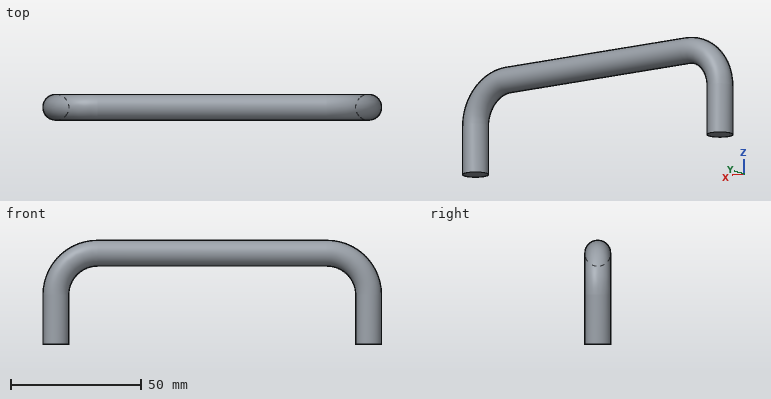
import cadquery as cq
import math

ROD_DIAMETER = 10.0
LEG_SPACING = 120.0
HEIGHT = 40.0
BEND_RADIUS = 16.0

rod_radius = ROD_DIAMETER / 2
leg_x = LEG_SPACING / 2
grip_z = HEIGHT - rod_radius
bend_x = leg_x - BEND_RADIUS
bend_z = grip_z - BEND_RADIUS
bend_mid_offset = BEND_RADIUS * math.sin(math.radians(45))


def rod_axis():
    """Centre line of the handle: leg, bend, grip, bend, leg."""
    return (
        cq.Workplane("XZ")
        .moveTo(-leg_x, 0)
        .lineTo(-leg_x, bend_z)
        .threePointArc((-bend_x - bend_mid_offset, bend_z + bend_mid_offset), (-bend_x, grip_z))
        .lineTo(bend_x, grip_z)
        .threePointArc((bend_x + bend_mid_offset, bend_z + bend_mid_offset), (leg_x, bend_z))
        .lineTo(leg_x, 0)
    )


def handle():
    """Round rod swept along its axis, with flat leg ends on Z = 0."""
    rod_section = cq.Workplane("XY").center(-leg_x, 0).circle(rod_radius)
    return rod_section.sweep(rod_axis())


result = handle()